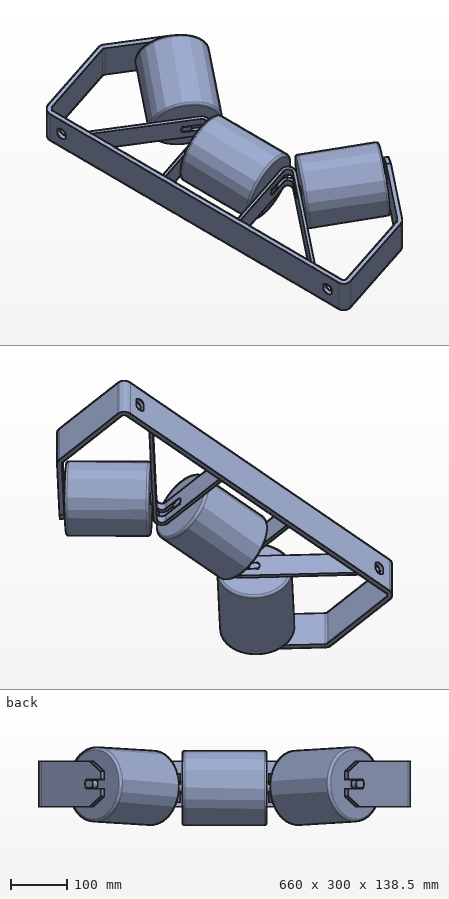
import cadquery as cq
import math

ROLLER_LENGTH = 150.0
ROLLER_DIAMETER = 132.5
ROLLER_RIM_RADIUS = 4.5
SHAFT_DIAMETER = 20.0
SHAFT_FLAT_WIDTH = 14.0
FLAT_LEAD = 0.5
PLATE_GAP = 4.0

CENTRE_ROLLER_Y = 125.0
CENTRE_ROLLER_Z = -7.0
SIDE_ROLLER_X = 179.0
SIDE_ROLLER_Y = 202.0
SIDE_ROLLER_Z = -4.0
SIDE_ROLLER_TURN = 45
SIDE_ROLLER_TILT = 2.5

FRAME_WIDTH = 660
FRAME_HEIGHT = 81.0
FRAME_THICKNESS = 8.5
FRAME_INNER_RADIUS = 6.5
WING_BEYOND_SHAFT = 30.0
TIP_CHAMFER_LENGTH = 28.0
TIP_CHAMFER_HEIGHT = 18.5

MOUNT_SLOT_X = 290.5
MOUNT_SLOT_WIDTH = 18.5
MOUNT_SLOT_HEIGHT = 27.0

BRACKET_HEIGHT = 50.0
BRACKET_THICKNESS = 6.0
BRACKET_INNER_RADIUS = 9.0

SHAFT_SLOT_WIDTH = 16.5
SHAFT_SLOT_REACH = 99

PLATE_FACE = ROLLER_LENGTH / 2 + PLATE_GAP
AXIS_X = math.cos(math.radians(SIDE_ROLLER_TURN))
AXIS_Y = -math.sin(math.radians(SIDE_ROLLER_TURN))


def beside_left_roller(along_axis, along_face):
    """Point in plan, measured from the middle of the left roller."""
    x = -SIDE_ROLLER_X + along_axis * AXIS_X - along_face * AXIS_Y
    y = SIDE_ROLLER_Y + along_axis * AXIS_Y + along_face * AXIS_X
    return x, y


def to_left_side(shape):
    """Move a shape from the origin to the left roller's tilted place."""
    tilted = shape.rotate((0, 0, 0), (0, 1, 0), SIDE_ROLLER_TILT)
    turned = tilted.rotate((0, 0, 0), (0, 0, 1), -SIDE_ROLLER_TURN)
    return turned.translate((-SIDE_ROLLER_X, SIDE_ROLLER_Y, SIDE_ROLLER_Z))


def to_centre(shape):
    return shape.translate((0, CENTRE_ROLLER_Y, CENTRE_ROLLER_Z))


def mirrored(shape):
    return shape.mirror("YZ")


def left_normal(start, end):
    length = math.dist(start, end)
    return (start[1] - end[1]) / length, (end[0] - start[0]) / length


def bent_strip(outer, thickness, height, inner_radius):
    """Upright strip along the outer plan points, thickened to the left, with rounded bends."""
    normals = [left_normal(a, b) for a, b in zip(outer, outer[1:])]
    inner = []
    for point, before, after in zip(outer, normals[:1] + normals, normals + normals[-1:]):
        mitre = thickness / (1 + before[0] * after[0] + before[1] * after[1])
        inner_x = point[0] + mitre * (before[0] + after[0])
        inner_y = point[1] + mitre * (before[1] + after[1])
        inner.append((inner_x, inner_y))

    strip = cq.Workplane("XY").polyline(outer + inner[::-1]).close().extrude(height / 2, both=True)
    for corners, radius in ((outer, inner_radius + thickness), (inner, inner_radius)):
        for x, y in corners[1:-1]:
            bend_edge = cq.selectors.NearestToPointSelector((x, y, 0))
            strip = strip.edges("|Z").edges(bend_edge).fillet(radius)
    return strip


def shaft_slot(side, plate_depth):
    """Cutter for a slot open towards +Y, from the roller's -X or +X face (side -1 or 1) through the plate."""
    base = cq.Workplane("YZ", origin=(side * ROLLER_LENGTH / 2, 0, 0))
    depth = side * (PLATE_GAP + plate_depth)
    seat = base.circle(SHAFT_DIAMETER / 2).extrude(depth)
    width_limit = base.rect(2 * SHAFT_SLOT_REACH, SHAFT_SLOT_WIDTH).extrude(depth)
    mouth = base.center(SHAFT_SLOT_REACH / 2, 0).rect(SHAFT_SLOT_REACH, SHAFT_SLOT_WIDTH).extrude(depth)
    return seat.intersect(width_limit).union(mouth)


def wing_tip_corners(tip):
    """Cutter for the two sloping corners at the tip of the left wing."""
    wing_plane = cq.Plane(origin=(*tip, 0), xDir=(-AXIS_Y, AXIS_X, 0), normal=(AXIS_X, AXIS_Y, 0))
    top = FRAME_HEIGHT / 2
    corner = [(0, top), (-TIP_CHAMFER_LENGTH, top), (0, top - TIP_CHAMFER_HEIGHT)]
    upper = cq.Workplane(wing_plane).polyline(corner).close().extrude(FRAME_THICKNESS)
    return upper.union(upper.mirror("XY"))


def make_frame():
    tip = beside_left_roller(-PLATE_FACE - FRAME_THICKNESS, WING_BEYOND_SHAFT)
    side_x = -FRAME_WIDTH / 2
    shoulder = (side_x, tip[1] + (side_x - tip[0]) * AXIS_X / -AXIS_Y)
    left_half = [tip, shoulder, (side_x, 0)]
    right_half = [(-x, y) for x, y in reversed(left_half)]
    frame = bent_strip(left_half + right_half, FRAME_THICKNESS, FRAME_HEIGHT, FRAME_INNER_RADIUS)

    wing_slot = to_left_side(shaft_slot(-1, 2 * FRAME_THICKNESS))
    for cutter in (wing_tip_corners(tip), wing_slot):
        frame = frame.cut(cutter).cut(mirrored(cutter))

    mount_slots = (
        cq.Workplane("XZ")
        .pushPoints([(-MOUNT_SLOT_X, 0), (MOUNT_SLOT_X, 0)])
        .slot2D(MOUNT_SLOT_HEIGHT, MOUNT_SLOT_WIDTH, 90)
        .extrude(-FRAME_THICKNESS)
    )
    return frame.cut(mount_slots)


def make_left_bracket():
    """Bent plate between the left and centre rollers; both legs stand on the frame's back."""
    upright_x = -PLATE_FACE
    foot = (upright_x, FRAME_THICKNESS)
    to_bend = (upright_x + SIDE_ROLLER_X - PLATE_FACE * AXIS_X) / -AXIS_Y
    inner_face = PLATE_FACE + BRACKET_THICKNESS
    to_end = (FRAME_THICKNESS - SIDE_ROLLER_Y - inner_face * AXIS_Y) / AXIS_X
    bend = beside_left_roller(PLATE_FACE, to_bend)
    end = beside_left_roller(PLATE_FACE, to_end)
    bracket = bent_strip([foot, bend, end], BRACKET_THICKNESS, BRACKET_HEIGHT, BRACKET_INNER_RADIUS)
    bracket = bracket.translate((0, 0, CENTRE_ROLLER_Z))

    slot_depth = BRACKET_INNER_RADIUS + BRACKET_THICKNESS
    upright_slot = to_centre(shaft_slot(-1, slot_depth))
    sloping_slot = to_left_side(shaft_slot(1, slot_depth))
    return bracket.cut(upright_slot).cut(sloping_slot)


def cylinder_along_x(diameter, start, end):
    return cq.Workplane("YZ", origin=(start, 0, 0)).circle(diameter / 2).extrude(end - start)


def make_roller(left_plate, right_plate):
    """Roller with a flatted shaft end filling each of the two plate thicknesses."""
    drum = cylinder_along_x(ROLLER_DIAMETER, -ROLLER_LENGTH / 2, ROLLER_LENGTH / 2)
    drum = drum.faces("<X or >X").edges().fillet(ROLLER_RIM_RADIUS)
    round_end = PLATE_FACE - FLAT_LEAD
    round_shaft = cylinder_along_x(SHAFT_DIAMETER, -round_end, round_end)
    flatted_shaft = cylinder_along_x(SHAFT_DIAMETER, -PLATE_FACE - left_plate, PLATE_FACE + right_plate)
    between_flats = cq.Workplane("XY").box(2 * ROLLER_LENGTH, SHAFT_DIAMETER, SHAFT_FLAT_WIDTH)
    flatted_shaft = flatted_shaft.intersect(between_flats)
    return drum.union(round_shaft).union(flatted_shaft)


frame = make_frame()
left_bracket = make_left_bracket()
centre_roller = to_centre(make_roller(BRACKET_THICKNESS, BRACKET_THICKNESS))
left_roller = to_left_side(make_roller(FRAME_THICKNESS, BRACKET_THICKNESS))

bodies = [frame.solids().val(), centre_roller.solids().val()]
for left_body in (left_bracket, left_roller):
    bodies += [left_body.solids().val(), mirrored(left_body).solids().val()]

result = cq.Compound.makeCompound(bodies)